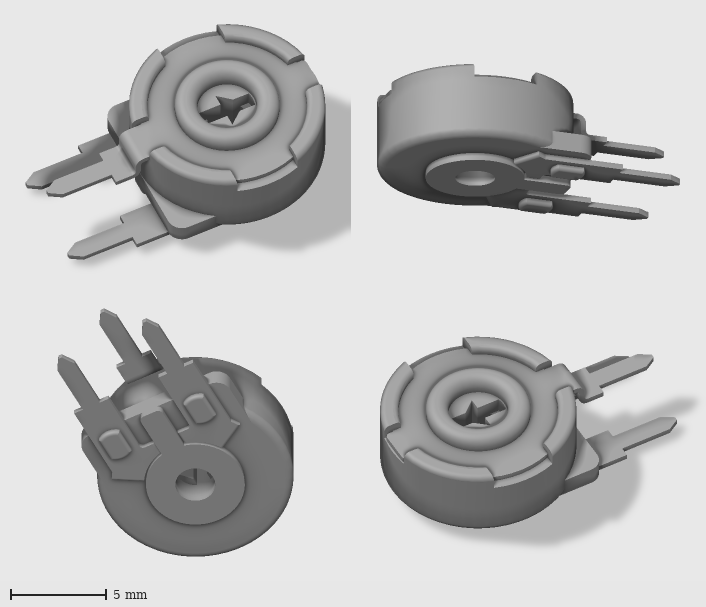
import cadquery as cq
import math


HOUSING_D = 10.3
OVERALL_LENGTH = 15.64
SHEET = 0.3

RIM_Z = 4.1
PLATE_SEAT_Z = 3.3
RIM_INNER_D = 8.38
RIM_ROUND = 0.3
BASE_ROUND = 0.4
SIDE_WINDOW_W = 3.5
END_NOTCH_W = 2.13

BLOCK_W = 8.7
BLOCK_FRONT_Y = -5.16
BLOCK_H = 1.02
BLOCK_CORNER_R = 0.8
BOSS_D = 5.2
BOSS_H = 0.39
RIB_W = 1.3
RIB_CORNER_R = 0.3
PEG_W = 1.2
PEG_L = 1.8
PEG_DEPTH = 0.63
PEG_END_BULGE = 0.2
PEG_EDGE_ROUND = 0.17
CENTRE_HOLE_D = 2.1

ROTOR_D = 5.5
ROTOR_TOP_Z = 4.4
ROTOR_BOTTOM_Z = BLOCK_H
CROWN_OUTER_D = 4.54
CROWN_INNER_D = 4.24
BOWL_D = 3.15
BOWL_FLOOR_Z = 3.5
SLOT_LENGTH = 3.0
SLOT_STEP_Z = 2.65
SLOT_W = 0.8
ARROW_BARB_X = 1.02
ARROW_BARB_Y = -0.19
ARROW_NECK_Y = 0.55

PLATE_D = 9.32
TONGUE_W = 2.03
TAB_END_Y = 5.04
TAB_CORNER_R = 0.25
BEND_INNER_R = 0.2
BEND_START_Y = -5.32
LOWER_LEG_TOP_Z = 2.49

PIN_PITCH = 2.5
PIN_W = 1.0
PIN_TIP_W = 0.2
PIN_SHOULDER_Y = -6.98
PIN_TAPER_Y = -9.84

BOSS_RELIEF_D = 5.4
FLARE_START_Y = -2.67
FLARE_END = (3.8, -2.2)
WING_END_X = 0.67
WING_FRONT_Y = -3.3
WING_CORNER_R = 0.23
WING_EDGE_ROUND = 0.15

HOUSING_R = HOUSING_D / 2
ROTOR_R = ROTOR_D / 2
PIN_TIP_Y = HOUSING_R - OVERALL_LENGTH
PLATE_TOP_Z = PLATE_SEAT_Z + SHEET
BEND_OUTER_R = BEND_INNER_R + SHEET
PEG_CENTRE_Y = BLOCK_FRONT_Y + PEG_L / 2


def cylinder(diameter, bottom, top):
    return cq.Workplane("XY", origin=(0, 0, bottom)).circle(diameter / 2).extrude(top - bottom)


def box(width, y_min, y_max, bottom, top):
    """Box centred on x = 0."""
    corner = cq.Workplane("XY", origin=(0, y_min, bottom))
    return corner.box(width, y_max - y_min, top - bottom, centered=(True, False, False))


def rivet_peg(x):
    flat_end_y = PEG_L / 2 - PEG_END_BULGE
    peg = (
        cq.Workplane("XY", origin=(x, PEG_CENTRE_Y, 0))
        .moveTo(PEG_W / 2, -flat_end_y)
        .lineTo(PEG_W / 2, flat_end_y)
        .threePointArc((0, PEG_L / 2), (-PEG_W / 2, flat_end_y))
        .lineTo(-PEG_W / 2, -flat_end_y)
        .threePointArc((0, -PEG_L / 2), (PEG_W / 2, -flat_end_y))
        .close()
        .extrude(-PEG_DEPTH)
    )
    return peg.faces("<Z").edges().fillet(PEG_EDGE_ROUND)


def pin_outline(half_width):
    """Right half of a terminal outline, from its shoulder to its tip, relative to the pin centre."""
    return [
        (half_width, PIN_SHOULDER_Y),
        (PIN_W / 2, PIN_SHOULDER_Y),
        (PIN_W / 2, PIN_TAPER_Y),
        (PIN_TIP_W / 2, PIN_TIP_Y),
    ]


def mirrored(points):
    return [(-x, y) for x, y in reversed(points)]


def make_housing():
    body = cylinder(HOUSING_D, 0, RIM_Z).faces("<Z").edges().fillet(BASE_ROUND)
    body = body.cut(cylinder(RIM_INNER_D, PLATE_SEAT_Z, RIM_Z))
    body = body.faces(">Z").edges().fillet(RIM_ROUND)

    body = body.cut(cylinder(PLATE_D, PLATE_SEAT_Z, PLATE_TOP_Z))

    body = body.cut(box(HOUSING_D, -SIDE_WINDOW_W / 2, SIDE_WINDOW_W / 2, PLATE_SEAT_Z, RIM_Z))
    body = body.cut(box(END_NOTCH_W, -HOUSING_R, HOUSING_R, PLATE_SEAT_Z, RIM_Z))

    block = box(BLOCK_W, BLOCK_FRONT_Y, 0, 0, BLOCK_H).edges("|Z and <Y").fillet(BLOCK_CORNER_R)
    body = body.union(block)

    rib = box(RIB_W, BLOCK_FRONT_Y, 0, -BOSS_H, 0).edges("|Z and <Y").fillet(RIB_CORNER_R)
    body = body.union(cylinder(BOSS_D, -BOSS_H, 0)).union(rib)

    body = body.cut(cylinder(ROTOR_D, ROTOR_BOTTOM_Z, RIM_Z))
    body = body.cut(cylinder(CENTRE_HOLE_D, -BOSS_H, ROTOR_BOTTOM_Z))

    for x in (-PIN_PITCH, PIN_PITCH):
        body = body.union(rivet_peg(x))
    return body


def slot_shaft(length, bottom, top):
    """Straight slot along Y whose ends are arcs about the rotor axis."""
    return box(SLOT_W, -length / 2, length / 2, bottom, top).intersect(cylinder(length, bottom, top))


def make_rotor():
    outer_round = (ROTOR_D - CROWN_OUTER_D) / 2
    inner_round = (CROWN_INNER_D - BOWL_D) / 2
    diagonal = math.sqrt(0.5)
    outer_centre = (ROTOR_R - outer_round, ROTOR_TOP_Z - outer_round)
    inner_centre = (CROWN_INNER_D / 2, ROTOR_TOP_Z - inner_round)
    profile = (
        cq.Workplane("XZ")
        .moveTo(0, ROTOR_BOTTOM_Z)
        .lineTo(ROTOR_R, ROTOR_BOTTOM_Z)
        .lineTo(ROTOR_R, outer_centre[1])
        .threePointArc(
            (outer_centre[0] + outer_round * diagonal, outer_centre[1] + outer_round * diagonal),
            (CROWN_OUTER_D / 2, ROTOR_TOP_Z),
        )
        .lineTo(CROWN_INNER_D / 2, ROTOR_TOP_Z)
        .threePointArc(
            (inner_centre[0] - inner_round * diagonal, inner_centre[1] + inner_round * diagonal),
            (BOWL_D / 2, inner_centre[1]),
        )
        .lineTo(BOWL_D / 2, BOWL_FLOOR_Z)
        .lineTo(0, BOWL_FLOOR_Z)
        .close()
    )
    rotor = profile.revolve(360, (0, 0), (0, 1))

    upper_slot = slot_shaft(SLOT_LENGTH, SLOT_STEP_Z, BOWL_FLOOR_Z)
    lower_slot = slot_shaft(CENTRE_HOLE_D, ROTOR_BOTTOM_Z, SLOT_STEP_Z)
    arrow_half = [(SLOT_W / 2, ARROW_NECK_Y), (ARROW_BARB_X, ARROW_BARB_Y)]
    arrow_head = (
        cq.Workplane("XY", origin=(0, 0, ROTOR_BOTTOM_Z))
        .polyline(arrow_half + mirrored(arrow_half))
        .close()
        .extrude(BOWL_FLOOR_Z - ROTOR_BOTTOM_Z)
    )
    return rotor.cut(upper_slot).cut(lower_slot).cut(arrow_head)


def make_collector():
    tab = box(TONGUE_W, 0, TAB_END_Y, PLATE_SEAT_Z, PLATE_TOP_Z).edges("|Z and >Y").fillet(TAB_CORNER_R)
    plate = cylinder(PLATE_D, PLATE_SEAT_Z, PLATE_TOP_Z).union(tab)

    side_profile = (
        cq.Workplane("YZ")
        .moveTo(0, PLATE_TOP_Z)
        .lineTo(BEND_START_Y, PLATE_TOP_Z)
        .radiusArc((BEND_START_Y - BEND_OUTER_R, PLATE_TOP_Z - BEND_OUTER_R), -BEND_OUTER_R)
        .lineTo(BEND_START_Y - BEND_OUTER_R, LOWER_LEG_TOP_Z + BEND_INNER_R)
        .radiusArc((BEND_START_Y - BEND_OUTER_R - BEND_INNER_R, LOWER_LEG_TOP_Z), BEND_INNER_R)
        .lineTo(PIN_TIP_Y, LOWER_LEG_TOP_Z)
        .lineTo(PIN_TIP_Y, LOWER_LEG_TOP_Z - SHEET)
        .lineTo(BEND_START_Y - BEND_OUTER_R - BEND_INNER_R, LOWER_LEG_TOP_Z - SHEET)
        .radiusArc((BEND_START_Y - BEND_INNER_R, LOWER_LEG_TOP_Z + BEND_INNER_R), -BEND_OUTER_R)
        .lineTo(BEND_START_Y - BEND_INNER_R, PLATE_SEAT_Z - BEND_INNER_R)
        .radiusArc((BEND_START_Y, PLATE_SEAT_Z), BEND_INNER_R)
        .lineTo(0, PLATE_SEAT_Z)
        .close()
    )
    strip = side_profile.extrude(TONGUE_W / 2, both=True)
    half = [(TONGUE_W / 2, 0)] + pin_outline(TONGUE_W / 2)
    blank = cq.Workplane("XY").polyline(half + mirrored(half)).close().extrude(PLATE_TOP_Z)
    plate = plate.union(strip.intersect(blank))

    return plate.cut(cylinder(ROTOR_D, PLATE_SEAT_Z, PLATE_TOP_Z))


def make_side_terminal(side):
    """Side terminal at x = side * PIN_PITCH, built at +X and mirrored for the other side."""
    outer_x = PIN_PITCH + TONGUE_W / 2
    inner_x = PIN_PITCH - TONGUE_W / 2

    flare_angle = math.atan2(FLARE_END[1] - FLARE_START_Y, FLARE_END[0] - outer_x)
    end_direction = (-math.sin(flare_angle), math.cos(flare_angle))
    end_length = BOSS_RELIEF_D / 2
    end_corner = (
        FLARE_END[0] + end_length * end_direction[0],
        FLARE_END[1] + end_length * end_direction[1],
    )
    pin_half = pin_outline(TONGUE_W / 2)
    pin = [(PIN_PITCH + x, y) for x, y in pin_half + mirrored(pin_half)]
    outer_wing = [end_corner, FLARE_END, (outer_x, FLARE_START_Y)]
    inner_wing = [(inner_x, WING_FRONT_Y), (WING_END_X, WING_FRONT_Y), (WING_END_X, 0)]
    outline = outer_wing + pin + inner_wing
    terminal = cq.Workplane("XY").polyline(outline).close().extrude(-SHEET)

    wing_corner = cq.selectors.NearestToPointSelector((inner_x, WING_FRONT_Y, -SHEET / 2))
    terminal = terminal.edges(wing_corner).fillet(WING_CORNER_R)

    terminal = terminal.cut(cylinder(BOSS_RELIEF_D, -SHEET, 0))

    outer_end = cq.selectors.ParallelDirSelector(cq.Vector(*end_direction, 0))
    terminal = terminal.faces("<Z").edges(outer_end).fillet(WING_EDGE_ROUND)
    terminal = terminal.faces("<X").edges("<Z").fillet(WING_EDGE_ROUND)

    if side < 0:
        terminal = terminal.mirror("YZ")
    return terminal.cut(rivet_peg(side * PIN_PITCH))


housing = make_housing()
rotor = make_rotor()
collector = make_collector()
side_terminals = [make_side_terminal(side) for side in (-1, 1)]

result = cq.Compound.makeCompound(
    [housing.val(), rotor.val(), collector.val(), *[terminal.val() for terminal in side_terminals]]
)